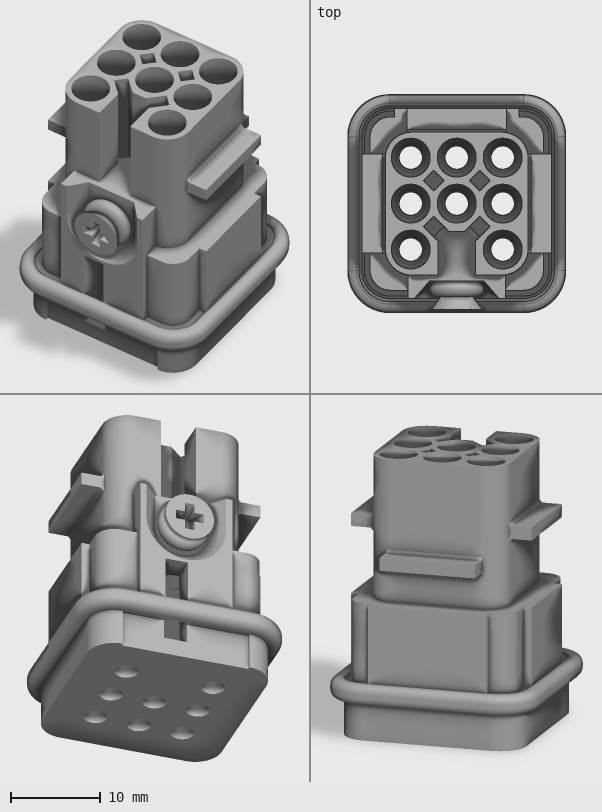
import cadquery as cq

total_height = 31.85
ring_bottom = 4.3
ring_top = 6.65
body_top = 15.5
block_top = 21.47

base_width = 21.18
base_corner = 3.12
base_front_setback = 0.38
ring_width = 24.3
ring_edge_radius = 0.95
ring_rim_width = 0.3
ring_lip = 0.15
ring_inner_depth = 0.45
groove_width = 0.3
groove_depth = 0.15
body_width = 19.33
body_corner = 2.23
tower_width = 15.92
tower_corner = 2.9
overlap = 0.32

side_rib_length = 11.02
back_rib_length = 13.9

flange_thickness = 1.5
flange_root = 0.32
side_flange_length = 11.02
side_flange_bottom = 23.22
back_flange_length = 11.15
back_flange_bottom = 19.7

bore_pitch = 5.13
bore_radius = 2.15
bore_seat_radius = 1.65
bore_exit_radius = 1.3
bore_seat_height = 15.92
bore_seat_drop = 0.95

diamond_half_diagonal = 1.15
notch_half_width = 2.07
notch_inner_y = -3.1

block_width = 10.9
recess_height = 17.3
recess_outer_radius = 4.7
recess_inner_radius = 3.03
recess_depth = 1.95

screw_height = 17.52
disc_radius = 3.0
disc_thickness = 1.72
head_radius = 5.7 / 2
neck_radius = 1.8
head_tip_y = -11.8
cross_length = 3.3
cross_arm_width = 1.1
cross_depth = 2.23
cross_core_radius = 1.43 / 2

slot_left = -2.5
slot_right = 0.2
slot_bottom = 2.05
slot_top = 12.2
slot_depth = 2.87
slot_bevel_width = 0.6
slot_bevel_depth = 0.13
window_bottom = 10.25
post_radius = 2.42
post_chamfer = 0.3

half_base = base_width / 2
half_ring = ring_width / 2
half_tower = tower_width / 2
front_y = -half_base
recess_floor_y = front_y + recess_depth


def rounded_block(width, corner, bottom, top):
    block = cq.Workplane("XY").workplane(offset=bottom).rect(width, width).extrude(top - bottom)
    return block.edges("|Z").fillet(corner)


def upright_box(x_min, x_max, y_min, y_max, z_min, z_max):
    size = (x_max - x_min, y_max - y_min, z_max - z_min)
    return cq.Workplane("XY").box(*size, centered=False).translate((x_min, y_min, z_min))


def make_base():
    """Base with a shallow groove along the inside of the ring."""
    shelf = ring_top - ring_inner_depth
    base = rounded_block(base_width, base_corner, 0, shelf)
    groove_bottom = shelf - groove_depth
    inner_width = base_width - 2 * groove_width
    groove = (
        rounded_block(base_width, base_corner, groove_bottom, shelf)
        .cut(rounded_block(inner_width, base_corner - groove_width, groove_bottom, shelf))
    )
    base = base.cut(groove)
    flat = half_base - base_corner
    setback = upright_box(-flat, flat, front_y, front_y + base_front_setback, 0, ring_bottom)
    return base.cut(setback)


def make_ring():
    """Band round the base: round outer edges, flat rim and a sloping inner lip."""
    corner = base_corner + half_ring - half_base
    ring = rounded_block(ring_width, corner, ring_bottom, ring_top)
    ring = ring.faces("<Z or >Z").edges().fillet(ring_edge_radius)
    hollow = rounded_block(base_width, base_corner, ring_bottom, ring_top)
    rim_inset = ring_edge_radius + ring_rim_width
    lip_bottom = cq.Sketch().rect(base_width, base_width).vertices().fillet(base_corner)
    lip_width = ring_width - 2 * rim_inset
    lip_top = cq.Sketch().rect(lip_width, lip_width).vertices().fillet(corner - rim_inset)
    lip = (
        cq.Workplane("XY").workplane(offset=ring_top - ring_lip)
        .placeSketch(lip_bottom, lip_top.moved(cq.Location(cq.Vector(0, 0, ring_lip)))).loft()
    )
    return ring.cut(hollow).cut(lip)


def make_body():
    bottom = ring_bottom
    body = rounded_block(body_width, body_corner, bottom, body_top)
    half_side = side_rib_length / 2
    half_back = back_rib_length / 2
    half_block = block_width / 2
    side_ribs = upright_box(-half_base, half_base, -half_side, half_side, bottom, body_top)
    back_rib = upright_box(-half_back, half_back, 0, half_base, bottom, body_top)
    screw_block = upright_box(-half_block, half_block, front_y, -half_tower + overlap, bottom, block_top)
    return body.union(side_ribs).union(back_rib).union(screw_block)


def make_flange(length, bottom, angle):
    """Flange on the +X face of the tower, turned about Z by the given angle."""
    top = bottom + flange_thickness
    inner = half_tower - overlap
    root_end = half_tower + flange_root
    profile = [
        (inner, bottom - flange_root),
        (half_tower, bottom - flange_root),
        (root_end, bottom),
        (half_base, bottom),
        (half_base, top),
        (root_end, top),
        (half_tower, top + flange_root),
        (inner, top + flange_root),
    ]
    flange = cq.Workplane("XZ").polyline(profile).close().extrude(length / 2, both=True)
    return flange.rotate((0, 0, 0), (0, 0, 1), angle)


def make_tower():
    tower = rounded_block(tower_width, tower_corner, body_top, total_height)
    tower = tower.union(make_flange(side_flange_length, side_flange_bottom, 0))
    tower = tower.union(make_flange(side_flange_length, side_flange_bottom, 180))
    return tower.union(make_flange(back_flange_length, back_flange_bottom, 90))


def contact_bores():
    """Cutter for eight through bores, each stepping down through two cones."""
    mid_height = bore_seat_height - bore_seat_drop
    exit_height = mid_height - bore_seat_drop
    profile = [
        (0, 0),
        (bore_exit_radius, 0),
        (bore_exit_radius, exit_height),
        (bore_seat_radius, mid_height),
        (bore_radius, bore_seat_height),
        (bore_radius, total_height),
        (0, total_height),
    ]
    bore = cq.Workplane("XZ").polyline(profile).close().revolve(360, (0, 0, 0), (0, 1, 0))
    cutter = cq.Workplane("XY")
    for column in (-1, 0, 1):
        for row in (-1, 0, 1):
            if (column, row) != (0, -1):
                cutter = cutter.add(bore.translate((column * bore_pitch, row * bore_pitch, 0)))
    return cutter.combine()


def tower_pockets():
    """Cutter for the diamond pockets and the notch below the middle bore."""
    center = bore_pitch / 2
    diamonds = (
        cq.Workplane("XY").workplane(offset=body_top)
        .rect(bore_pitch, bore_pitch, forConstruction=True).vertices()
        .polygon(4, 2 * diamond_half_diagonal).extrude(total_height - body_top)
    )
    shoulder_y = -center - diamond_half_diagonal - (center - notch_half_width)
    notch_inner_half_width = 2 * center - diamond_half_diagonal + notch_inner_y
    right_side = [
        (notch_half_width, -half_tower),
        (notch_half_width, shoulder_y),
        (center, -center - diamond_half_diagonal),
        (center - diamond_half_diagonal, -center),
        (notch_inner_half_width, notch_inner_y),
    ]
    left_side = [(-x, y) for x, y in reversed(right_side)]
    notch = (
        cq.Workplane("XY").workplane(offset=block_top)
        .polyline(right_side + left_side).close().extrude(total_height - block_top)
    )
    return diamonds.union(notch)


def screw_recess():
    """Cutter for the half-conical recess, open at the top with sloping sides."""
    cone = (
        cq.Workplane("XZ", origin=(0, front_y, recess_height)).circle(recess_outer_radius)
        .workplane(offset=-recess_depth).circle(recess_inner_radius).loft()
    )
    channel_section = [
        (-recess_outer_radius, front_y),
        (recess_outer_radius, front_y),
        (recess_inner_radius, recess_floor_y),
        (-recess_inner_radius, recess_floor_y),
    ]
    channel = (
        cq.Workplane("XY").workplane(offset=recess_height)
        .polyline(channel_section).close().extrude(block_top - recess_height)
    )
    return cone.union(channel)


def make_screw():
    disc_tip_y = recess_floor_y - disc_thickness
    edge_radius = disc_thickness / 2
    shoulder_radius = disc_radius - edge_radius
    screw = (
        cq.Workplane("XY").moveTo(0, recess_floor_y + overlap)
        .lineTo(shoulder_radius, recess_floor_y + overlap)
        .lineTo(shoulder_radius, recess_floor_y)
        .threePointArc((disc_radius, recess_floor_y - edge_radius), (shoulder_radius, disc_tip_y))
        .lineTo(neck_radius, disc_tip_y).lineTo(head_radius, head_tip_y).lineTo(0, head_tip_y).close()
        .revolve(360, (0, 0, 0), (0, 1, 0))
    )
    cross_floor_y = head_tip_y + cross_depth
    arm_section = [
        (-cross_length / 2, head_tip_y),
        (cross_length / 2, head_tip_y),
        (cross_core_radius, cross_floor_y),
        (-cross_core_radius, cross_floor_y),
    ]
    arm = cq.Workplane("XY").polyline(arm_section).close().extrude(cross_arm_width / 2, both=True)
    core = cq.Workplane("XZ", origin=(0, head_tip_y, 0)).circle(cross_core_radius).extrude(-cross_depth)
    screw = screw.cut(arm).cut(arm.rotate((0, 0, 0), (0, 1, 0), 90)).cut(core)
    return screw.translate((0, 0, screw_height))


def front_slot():
    """Cutter for the front slot: bevelled floor below, deeper window round a post above."""
    floor_y = front_y + slot_depth
    section = [
        (slot_left, front_y),
        (slot_right, front_y),
        (slot_right, floor_y),
        (slot_left + slot_bevel_width, floor_y),
        (slot_left, floor_y + slot_bevel_depth),
    ]
    slot = (
        cq.Workplane("XY").workplane(offset=slot_bottom)
        .polyline(section).close().extrude(slot_top - slot_bottom)
    )
    window = upright_box(slot_left, slot_right, floor_y, -bore_pitch, window_bottom, slot_top)
    post = (
        cq.Workplane("XY", origin=(0, -bore_pitch, window_bottom))
        .circle(post_radius).extrude(slot_top - window_bottom)
        .faces("<Z").chamfer(post_chamfer)
    )
    return slot.union(window.cut(post))


housing = make_base().union(make_body()).union(make_tower())
housing = housing.cut(front_slot()).union(make_ring())
housing = housing.cut(contact_bores()).cut(tower_pockets()).cut(screw_recess())
result = housing.union(make_screw())